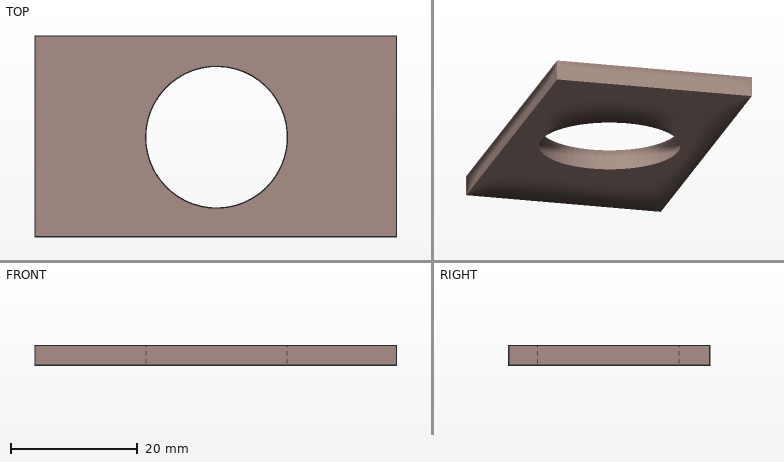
import cadquery as cq

plate_length = 57.15
plate_width = 31.75
plate_thickness = 3.175

hole_diameter = 22.35
hole_offset = 0.127
hole_x = hole_offset
hole_y = -hole_offset


def make_plate():
    """Flat rectangular plate centred on the origin."""
    return cq.Workplane("XY").box(plate_length, plate_width, plate_thickness)


def cut_hole(plate):
    """Cut the round opening through the full thickness."""
    top_plane = plate.faces(">Z").workplane()
    return top_plane.center(hole_x, hole_y).hole(hole_diameter)


result = cut_hole(make_plate())